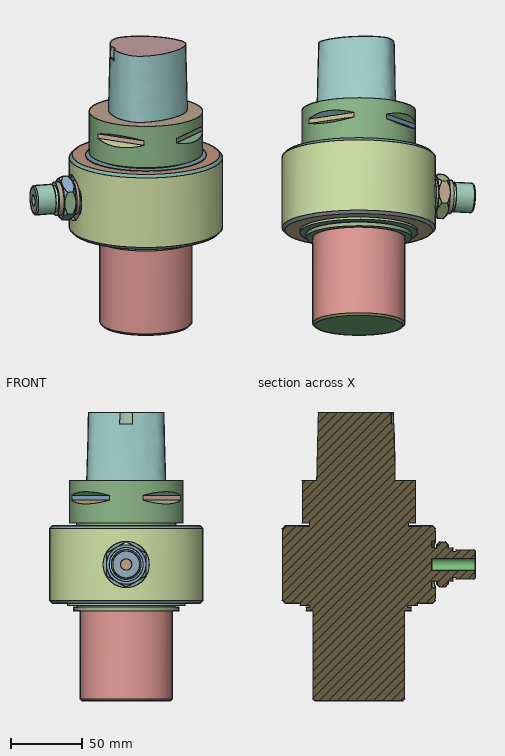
import cadquery as cq
import math

total_height = 203.0
head_top = 155.0
head_bottom = 125.0
body_top = 123.5
body_bottom = 68.6
cover_bottom = 67.0
collar_top = 66.0
collar_bottom = 63.3

head_diameter = 80.0
neck_diameter = 70.0
body_diameter = 108.0
recess_diameter = 85.0
cover_diameter = 82.8
relief_diameter = 69.0
collar_diameter = 74.0
shank_diameter = 65.0
shank_end_diameter = 62.0
body_chamfer = 2.0
recess_depth = 0.5

taper_ratio = 1 / 20
polygon_diameter = 55.6
polygon_eccentricity = 2.0
lobes = 3
points_per_lobe = 12
notch_depth = 8.1
notch_radius = 7.5
notch_inset = 1.6

groove_count = 4
groove_height = 143.0
groove_floor_distance = 35.3
groove_floor_width = 3.2
groove_flank_angle = 30.0
groove_overshoot = 2.0

fitting_height = 96.0
spotface_diameter = 32.5
spotface_floor = 51.4
seat_end = 53.4
hex_start = 54.8
hex_end = 63.0
hex_corner_diameter = 32.0
hex_chamfer_angle = 45.0
washer_end = 66.2
thread_start = 68.2
fitting_end = 82.0
seat_diameter = 24.0
washer_diameter = 23.8
undercut_diameter = 18.9
thread_diameter = 21.0
thread_chamfer = 1.0
bore_diameter = 8.0


def cylinder(diameter, bottom, top):
    """Vertical cylinder between two distances along Z."""
    return cq.Workplane("XY").workplane(offset=bottom).circle(diameter / 2).extrude(top - bottom)


def turned_parts():
    shank_chamfer = (shank_diameter - shank_end_diameter) / 2
    shank = cylinder(shank_diameter, 0, collar_bottom).faces("<Z").chamfer(shank_chamfer)
    body = cylinder(body_diameter, body_bottom, body_top).faces("<Z or >Z").chamfer(body_chamfer)
    body = body.cut(cylinder(recess_diameter, body_top - recess_depth, body_top))
    return (
        body.union(cylinder(cover_diameter, cover_bottom, body_bottom))
        .union(cylinder(relief_diameter, collar_top, cover_bottom))
        .union(cylinder(collar_diameter, collar_bottom, collar_top))
        .union(shank)
        .union(cylinder(neck_diameter, body_top - recess_depth, head_bottom))
        .union(cylinder(head_diameter, head_bottom, head_top))
    )


def polygon_points(mean_radius):
    """Constant-width curve whose support distance swings once per lobe, one lobe facing +Y."""
    count = lobes * points_per_lobe
    points = []
    for i in range(count):
        angle = 2 * math.pi * i / count
        support = mean_radius + polygon_eccentricity * math.cos(lobes * angle)
        slope = -lobes * polygon_eccentricity * math.sin(lobes * angle)
        outward = support * math.cos(angle) - slope * math.sin(angle)
        sideways = support * math.sin(angle) + slope * math.cos(angle)
        points.append((-sideways, outward))
    return points


def polygon_shank():
    height = total_height - head_top
    base_radius = polygon_diameter / 2
    top_radius = base_radius - height * taper_ratio / 2
    shank = (
        cq.Workplane("XY")
        .workplane(offset=head_top)
        .spline(polygon_points(base_radius), periodic=True)
        .close()
        .workplane(offset=height)
        .spline(polygon_points(top_radius), periodic=True)
        .close()
        .loft(ruled=True)
    )
    flat_distance = top_radius - polygon_eccentricity
    notch = cylinder(2 * notch_radius, total_height - notch_depth, total_height)
    return shank.cut(notch.translate((0, notch_inset - flat_distance - notch_radius, 0)))


def gripper_groove():
    """Straight groove with a flat floor and sloping flanks, facing +X."""
    outer = head_diameter / 2 + groove_overshoot
    floor_half = groove_floor_width / 2
    mouth_half = floor_half + (outer - groove_floor_distance) * math.tan(math.radians(groove_flank_angle))
    return (
        cq.Workplane("XZ")
        .moveTo(groove_floor_distance, groove_height - floor_half)
        .lineTo(outer, groove_height - mouth_half)
        .lineTo(outer, groove_height + mouth_half)
        .lineTo(groove_floor_distance, groove_height + floor_half)
        .close()
        .extrude(head_diameter / 2, both=True)
    )


def to_fitting(shape):
    """Turn a shape built along +Z to point along -Y at the fitting height."""
    return shape.rotate((0, 0, 0), (1, 0, 0), 90).translate((0, 0, fitting_height))


def hexagon_nut():
    """Hexagon with corners up and down, both ends turned down to the across-flats circle."""
    flats_diameter = hex_corner_diameter * math.cos(math.pi / 6)
    corner_drop = (hex_corner_diameter - flats_diameter) / 2
    chamfer_length = corner_drop / math.tan(math.radians(hex_chamfer_angle))
    envelope = (
        cylinder(hex_corner_diameter, hex_start, hex_end)
        .faces("<Z or >Z")
        .chamfer(chamfer_length, corner_drop)
    )
    prism = (
        cq.Workplane("XY")
        .workplane(offset=hex_start)
        .polygon(6, hex_corner_diameter)
        .extrude(hex_end - hex_start)
        .rotate((0, 0, 0), (0, 0, 1), 90)
    )
    return prism.intersect(envelope)


def fitting():
    thread = cylinder(thread_diameter, thread_start, fitting_end).faces(">Z").chamfer(thread_chamfer)
    return (
        cylinder(seat_diameter, spotface_floor, seat_end)
        .union(cylinder(washer_diameter, seat_end, hex_start))
        .union(hexagon_nut())
        .union(cylinder(washer_diameter, hex_end, washer_end))
        .union(cylinder(undercut_diameter, washer_end, thread_start))
        .union(thread)
        .cut(cylinder(bore_diameter, spotface_floor, fitting_end))
    )


result = turned_parts().union(polygon_shank())

groove = gripper_groove()
groove_spacing = 360 / groove_count
for i in range(groove_count):
    result = result.cut(groove.rotate((0, 0, 0), (0, 0, 1), groove_spacing * (i + 0.5)))

result = result.cut(to_fitting(cylinder(spotface_diameter, spotface_floor, fitting_end)))
result = result.union(to_fitting(fitting()))